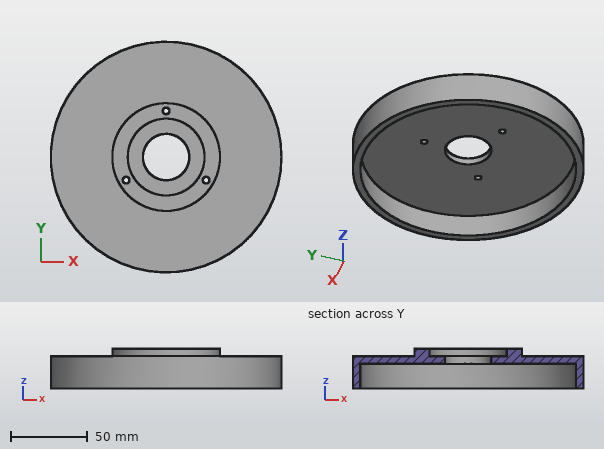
import cadquery as cq

disc_diameter = 150.0
total_height = 26.0
hub_diameter = 70.0
hub_height = 5.0
disc_height = total_height - hub_height

wall_thickness = 5.0
cavity_diameter = disc_diameter - 2 * wall_thickness
cavity_height = disc_height - wall_thickness

recess_diameter = 50.0
recess_depth = hub_height
bore_diameter = 30.0

hole_diameter = 4.2
hole_count = 3
hole_circle_radius = (hub_diameter + recess_diameter) / 4
first_hole_angle = 90.0


def make_body():
    """Disc with the hub standing on its upper face."""
    disc = cq.Workplane("XY").circle(disc_diameter / 2).extrude(disc_height)
    return disc.faces(">Z").workplane().circle(hub_diameter / 2).extrude(hub_height)


def hollow_underside(body):
    """Open the disc from below, leaving the web and the outer wall."""
    cavity = cq.Workplane("XY").circle(cavity_diameter / 2).extrude(cavity_height)
    return body.cut(cavity)


def cut_recess_and_bore(body):
    """Sink the recess into the hub and take the bore through the web."""
    return body.faces(">Z").workplane().cboreHole(bore_diameter, recess_diameter, recess_depth)


def drill_rim_holes(body):
    """Drill evenly spaced through holes along the hub rim."""
    return (
        body.faces(">Z")
        .workplane(origin=(0, 0, total_height))
        .polarArray(hole_circle_radius, first_hole_angle, 360, hole_count)
        .hole(hole_diameter)
    )


body = hollow_underside(make_body())
body = cut_recess_and_bore(body)
result = drill_rim_holes(body)